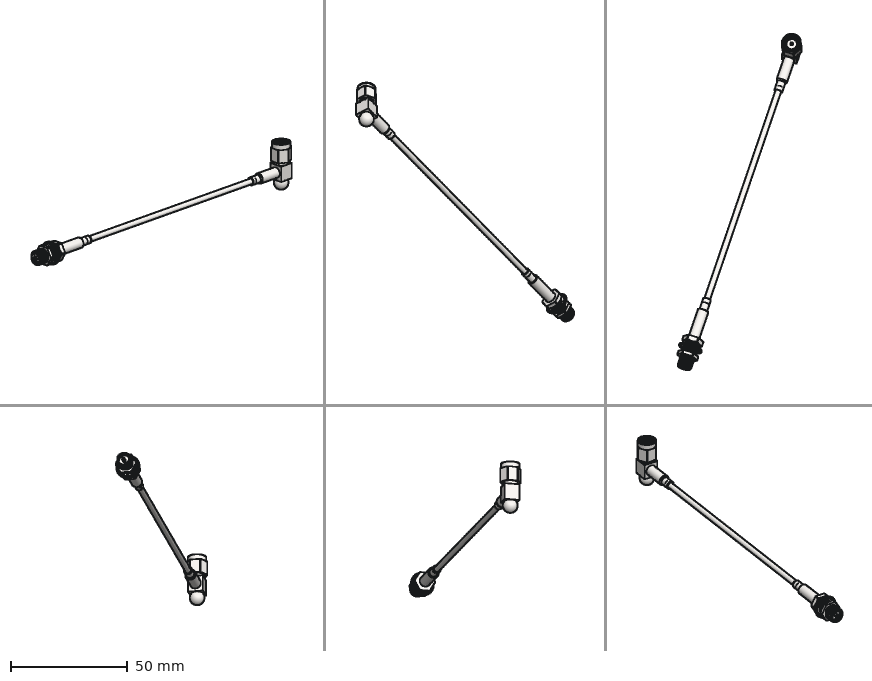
import cadquery as cq
import math


total_length = 153.1
total_height = 21.77
washer_diameter = 10.16

hex_across_flats = 8.0
hex_corner_diameter = 9.0
thread_major_radius = 3.2
thread_minor_radius = 2.78
thread_pitch = 0.7056
contact_diameter = 1.27
pin_diameter = 0.92
sleeve_diameter = 4.75

cable_diameter = 2.6
cable_insertion = 2.0

nut_top = 13.2
nut_hex_top = 10.9
nut_bottom = 4.9
block_width_x = 6.55
block_width_y = 6.55
block_height = 7.0
neck_diameter = 6.4
dome_radius = 3.2
dome_bottom = nut_top - total_height
coupling_depth = 4.9
insert_diameter = 4.56
insert_recess = 2.0
contact_step = 0.2
pin_projection = 1.2
socket_mouth_chamfer = 0.4
male_sleeve_end = -14.2
male_sleeve_chamfer_length = 0.7
male_sleeve_chamfer_depth = 0.4
male_ferrule_diameter = 3.6
male_ferrule_end = -18.4

female_tip = hex_across_flats / 2 - total_length
female_ferrule_diameter = 3.5
female_ferrule_start = -116.8
female_sleeve_start = -122.3
flange_start = -135.6
flange_end = -137.9
flange_chamfer = 0.5
washer_centre = -139.9
washer_thickness = 0.5
nut_start = -142.6
nut_end = -144.3
flat_distance = 2.72
shell_bore_diameter = 4.75
dielectric_recess = 1.9
contact_bore_depth = 3.0
tip_chamfer = 0.5

tooth_count = 32
washer_body_radius = 4.1
tooth_fill = 0.5


def hex_along_z(bottom, top):
    """Hexagonal prism with corners towards +X and -X, its corners rounded to a cylinder."""
    height = top - bottom
    corner_to_corner = hex_across_flats / math.cos(math.pi / 6)
    prism = cq.Workplane("XY").workplane(offset=bottom).polygon(6, corner_to_corner).extrude(height)
    return prism.intersect(rod_along_z(hex_corner_diameter, bottom, top))


def rod_along_z(diameter, bottom, top):
    return cq.Workplane("XY").workplane(offset=bottom).circle(diameter / 2).extrude(top - bottom)


def rod_along_y(diameter, start, end):
    """Cylinder on the cable axis running towards -Y from start to end."""
    return cq.Workplane("XZ", origin=(0, start, 0)).circle(diameter / 2).extrude(start - end)


def lay_along_y(solid, start):
    """Turn a solid standing on the XY plane so that it runs towards -Y from start."""
    return solid.rotate((0, 0, 0), (1, 0, 0), 90).translate((0, start, 0))


def thread_along_z(length):
    """Solid rod with flat-topped thread ridges, standing on the XY plane."""
    ridge_count = round(length / thread_pitch)
    pitch = length / ridge_count
    outline = [(0, 0), (thread_minor_radius, 0)]
    for ridge in range(ridge_count):
        base = ridge * pitch
        outline.append((thread_minor_radius, base + pitch / 4))
        outline.append((thread_major_radius, base + pitch / 2))
        outline.append((thread_major_radius, base + pitch * 3 / 4))
        outline.append((thread_minor_radius, base + pitch))
    outline.append((0, length))
    return cq.Workplane("XZ").polyline(outline).close().revolve(360, (0, 0), (0, 1))


def make_male_connector():
    body = cq.Workplane("XY").box(block_width_x, block_width_y, block_height)
    body = body.union(rod_along_z(neck_diameter, 0, nut_bottom))
    dome_centre = dome_bottom + dome_radius
    body = body.union(cq.Workplane("XY").sphere(dome_radius).translate((0, 0, dome_centre)))

    body = body.union(hex_along_z(nut_bottom, nut_hex_top))
    body = body.union(rod_along_z(hex_across_flats, nut_hex_top, nut_top))
    socket_floor = nut_top - coupling_depth
    body = body.cut(thread_along_z(coupling_depth).translate((0, 0, socket_floor)))
    mouth_radius = thread_major_radius + socket_mouth_chamfer
    mouth = cq.Solid.makeCone(
        thread_major_radius, mouth_radius, socket_mouth_chamfer, pnt=(0, 0, nut_top - socket_mouth_chamfer)
    )
    body = body.cut(cq.Workplane(mouth))

    insert_top = nut_top - insert_recess
    body = body.union(rod_along_z(insert_diameter, nut_bottom, insert_top))
    body = body.union(rod_along_z(contact_diameter, nut_bottom, insert_top + contact_step))
    body = body.union(rod_along_z(pin_diameter, nut_bottom, insert_top + pin_projection))

    sleeve = rod_along_y(sleeve_diameter, 0, male_sleeve_end)
    sleeve = sleeve.faces("<Y").chamfer(male_sleeve_chamfer_length, male_sleeve_chamfer_depth)
    body = body.union(sleeve)
    body = body.union(rod_along_y(male_ferrule_diameter, 0, male_ferrule_end))
    return body.cut(rod_along_y(cable_diameter, male_ferrule_end + cable_insertion, male_ferrule_end))


def point_on_circle(radius, angle):
    return (radius * math.cos(angle), radius * math.sin(angle))


def make_lock_washer():
    """External-tooth washer with straight-sided teeth and a gap between teeth at +X and -X."""
    tooth_pitch = 2 * math.pi / tooth_count
    tip_half_angle = tooth_pitch * tooth_fill / 2
    tip_radius = washer_diameter / 2 / math.cos(tooth_pitch / 2 - tip_half_angle)
    outline = []
    for tooth in range(tooth_count):
        middle = (tooth + 0.5) * tooth_pitch
        outline.append(point_on_circle(washer_body_radius, middle - tip_half_angle))
        outline.append(point_on_circle(tip_radius, middle - tip_half_angle))
        outline.append(point_on_circle(tip_radius, middle + tip_half_angle))
        outline.append(point_on_circle(washer_body_radius, middle + tip_half_angle))
    washer = cq.Workplane("XY").polyline(outline).close().extrude(washer_thickness)
    return lay_along_y(washer, washer_centre + washer_thickness / 2)


def make_female_connector():
    body = rod_along_y(female_ferrule_diameter, female_ferrule_start, flange_start)
    body = body.union(rod_along_y(sleeve_diameter, female_sleeve_start, flange_start))
    flange = lay_along_y(hex_along_z(0, flange_start - flange_end), flange_start)
    flange_envelope = rod_along_y(hex_corner_diameter, flange_start, flange_end)
    flange = flange.intersect(flange_envelope.faces("<Y").chamfer(flange_chamfer))
    body = body.union(flange)

    barrel_length = flange_end - female_tip
    envelope = cq.Workplane("XY").circle(thread_major_radius).extrude(barrel_length)
    envelope = envelope.faces(">Z").chamfer(tip_chamfer)
    barrel = lay_along_y(thread_along_z(barrel_length).intersect(envelope), flange_end)
    flat_cutter = cq.Workplane("XY").box(
        thread_major_radius, 2 * total_length, 2 * thread_major_radius, centered=(False, True, True)
    )
    barrel = barrel.cut(flat_cutter.translate((-flat_distance - thread_major_radius, 0, 0)))
    body = body.union(barrel)

    body = body.union(make_lock_washer())
    body = body.union(lay_along_y(hex_along_z(0, nut_start - nut_end), nut_start))

    dielectric_face = female_tip + dielectric_recess
    body = body.cut(rod_along_y(shell_bore_diameter, dielectric_face, female_tip))
    body = body.union(rod_along_y(contact_diameter, dielectric_face, female_tip))
    body = body.cut(rod_along_y(pin_diameter, female_tip + contact_bore_depth, female_tip))

    return body.cut(rod_along_y(cable_diameter, female_ferrule_start, female_ferrule_start - cable_insertion))


def make_cable():
    start = male_ferrule_end + cable_insertion
    end = female_ferrule_start - cable_insertion
    return rod_along_y(cable_diameter, start, end)


male_connector = make_male_connector()
cable = make_cable()
female_connector = make_female_connector()

result = cq.Compound.makeCompound([male_connector.val(), cable.val(), female_connector.val()])